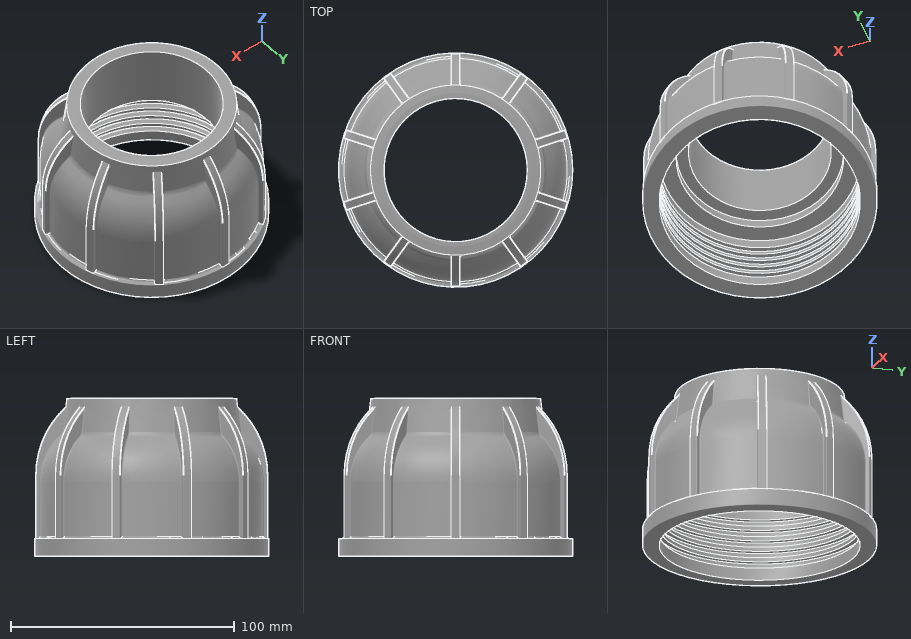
import cadquery as cq
import math

total_height = 71.0
flange_height = 8.0
dome_start_height = 33.5
dome_end_height = 55.5
rib_arc_start_height = 36.5
rib_end_height = 67.5
seat_height = 39.3
seal_pocket_mouth_height = 34.3

flange_radius = 52.5
body_radius = 50.0
rib_radius = 52.0
bore_radius = 32.0
seal_pocket_radius = 37.5
rim_flat_radius = 34.4
rim_radius = 38.1
dome_arc_radius = 26.5
rib_arc_radius = 41.0

neck_taper = math.radians(6.5)
rim_edge_height = total_height - (rim_radius - rim_flat_radius) * math.tan(neck_taper)

rib_count = 10
rib_width = 4.0
rib_first_angle = 90.0
rib_inner_radius = rim_flat_radius

thread_crest_radius = 45.0
thread_depth = 2.85
thread_pitch = 5.0
groove_width = 3.0
groove_top_height = 28.8
groove_count = 5

neck_fillet = 3.0
flange_root_fillet = 1.0
flange_edge_fillet = 0.3
rib_root_fillet = 0.5
rib_edge_fillet = 0.25

edge_tolerance = 0.01


def neck_radius(height):
    """Radius of the tapered neck wall at a height."""
    return rim_radius + (rim_edge_height - height) * math.tan(neck_taper)


def inward_arc(start_radius, start_height, arc_radius, end_height):
    """Mid and end points of an arc that leaves a vertical wall tangentially and curves inward."""
    center_radius = start_radius - arc_radius
    end_angle = math.asin((end_height - start_height) / arc_radius)
    mid, end = [
        (center_radius + arc_radius * math.cos(angle), start_height + arc_radius * math.sin(angle))
        for angle in (end_angle / 2, end_angle)
    ]
    return mid, end


def revolve_profile(profile):
    """Full turn about Z of a closed radius-height profile."""
    return profile.close().revolve(360, (0, 0, 0), (0, 1, 0))


def is_neck_seam(edge):
    """Whether an edge is the ring where the dome runs into the neck."""
    start = edge.startPoint()
    on_neck = abs(math.hypot(start.x, start.y) - neck_radius(start.z)) < edge_tolerance
    return on_neck and edge.IsClosed() and start.z < rim_edge_height - edge_tolerance


def make_shell():
    """Cylindrical wall, dome and tapered neck as one solid of revolution."""
    dome_mid, dome_end = inward_arc(body_radius, dome_start_height, dome_arc_radius, dome_end_height)
    body = revolve_profile(
        cq.Workplane("XZ")
        .moveTo(0, 0)
        .lineTo(body_radius, 0)
        .lineTo(body_radius, dome_start_height)
        .threePointArc(dome_mid, dome_end)
        .lineTo(0, dome_end_height)
    )
    neck = revolve_profile(
        cq.Workplane("XZ")
        .moveTo(0, seat_height)
        .lineTo(neck_radius(seat_height), seat_height)
        .lineTo(rim_radius, rim_edge_height)
        .lineTo(rim_flat_radius, total_height)
        .lineTo(0, total_height)
    )
    shell = body.union(neck)
    neck_seam = shell.edges().filter(is_neck_seam)
    return neck_seam.fillet(neck_fillet)


def make_flange():
    """Bottom flange with rounded rims and a hollow round leading up to the wall."""
    disc = cq.Workplane("XY").circle(flange_radius).extrude(flange_height)
    disc = disc.edges("%CIRCLE").fillet(flange_edge_fillet)
    root_top_height = flange_height + flange_root_fillet
    root_outer_radius = body_radius + flange_root_fillet
    root_mid_step = flange_root_fillet * (1 - math.sqrt(0.5))
    root = revolve_profile(
        cq.Workplane("XZ")
        .moveTo(0, 0)
        .lineTo(root_outer_radius, 0)
        .lineTo(root_outer_radius, flange_height)
        .threePointArc(
            (body_radius + root_mid_step, flange_height + root_mid_step),
            (body_radius, root_top_height),
        )
        .lineTo(0, root_top_height)
    )
    return disc.union(root)


def rib_offset(point):
    """Distance of a point from the center plane of the nearest rib."""
    spacing = math.radians(360 / rib_count)
    angle = math.atan2(point.y, point.x) - math.radians(rib_first_angle)
    angle_to_rib = (angle + spacing / 2) % spacing - spacing / 2
    return math.hypot(point.x, point.y) * abs(math.sin(angle_to_rib))


def make_rib():
    """One rib lying along +X, with rounded outer edges."""
    arc_mid, arc_end = inward_arc(rib_radius, rib_arc_start_height, rib_arc_radius, rib_end_height)
    rib = (
        cq.Workplane("XZ")
        .moveTo(rib_inner_radius, 0)
        .lineTo(rib_radius, 0)
        .lineTo(rib_radius, rib_arc_start_height)
        .threePointArc(arc_mid, arc_end)
        .lineTo(rib_inner_radius, rib_end_height)
        .close()
        .extrude(rib_width / 2, both=True)
    )
    outer_edges = rib.faces(">X").edges("|Z")
    return outer_edges.fillet(rib_edge_fillet)


def add_ribs(shell):
    """The shell with ribs spread around it and their roots rounded."""
    part = shell
    for index in range(rib_count):
        angle = rib_first_angle + index * 360 / rib_count
        part = part.union(make_rib().rotate((0, 0, 0), (0, 0, 1), angle))
    shell_solid = shell.val()

    def is_rib_root(edge):
        middle = edge.positionAt(0.5)
        on_rib_side = abs(rib_offset(middle) - rib_width / 2) < edge_tolerance
        shell_gap = shell_solid.distance(cq.Vertex.makeVertex(*middle.toTuple()))
        return on_rib_side and middle.z > edge_tolerance and shell_gap < edge_tolerance

    return part.edges().filter(is_rib_root).fillet(rib_root_fillet)


def make_cavity():
    """Bore through the neck, the wider cavity below it and its thread grooves."""
    bore = cq.Workplane("XY").circle(bore_radius).extrude(total_height)
    seal_pocket = cq.Workplane("XY").circle(seal_pocket_radius).extrude(seat_height)
    socket = cq.Workplane("XY").circle(thread_crest_radius).extrude(seal_pocket_mouth_height)
    cavity = bore.union(seal_pocket).union(socket)
    for index in range(groove_count):
        groove_floor = groove_top_height - groove_width - index * thread_pitch
        groove = (
            cq.Workplane("XY", origin=(0, 0, groove_floor))
            .circle(thread_crest_radius + thread_depth)
            .extrude(groove_width)
        )
        cavity = cavity.union(groove)
    return cavity


outside = add_ribs(make_shell()).union(make_flange())
result = outside.cut(make_cavity())